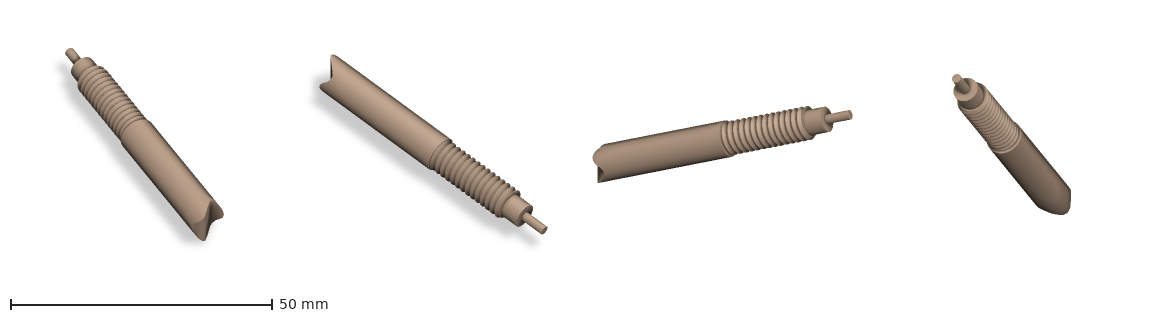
import cadquery as cq
import math

TOTAL_LENGTH = 56.39
BODY_DIAMETER = 7.11

PIN_DIAMETER = 1.83
PIN_LENGTH = 5.08
COLLAR_DIAMETER = 4.93
COLLAR_END = 8.89

THREAD_END = 26.67
THREAD_PITCH = 1.27
THREAD_LEAD_IN = 1.52 * THREAD_PITCH
THREAD_MAJOR_DIAMETER = 6.6
THREAD_MINOR_DIAMETER = 5.6
CREST_FLAT = 0.1
ROOT_FLAT = 0.1

LOBE_RADIUS = 1.0
LOBE_OFFSET = 2.07
HOLLOW_DEPTH = 3.6
FLANK_ANGLE = math.radians(26.5)


def cylinder(diameter, start, end):
    """Solid cylinder on the X axis between two stations."""
    return cq.Workplane("YZ", origin=(start, 0, 0)).circle(diameter / 2).extrude(end - start)


def thread_groove():
    """Helical V groove, running past both ends of the threaded length."""
    start = COLLAR_END - THREAD_LEAD_IN
    length = THREAD_END - COLLAR_END + 2 * THREAD_LEAD_IN
    root_radius = THREAD_MINOR_DIAMETER / 2
    crest_radius = THREAD_MAJOR_DIAMETER / 2
    outer_clearance = 0.1
    flank_run = (THREAD_PITCH - CREST_FLAT - ROOT_FLAT) / 2
    half_root = ROOT_FLAT / 2
    half_mouth = half_root + flank_run
    helix = cq.Wire.makeHelix(THREAD_PITCH, length, crest_radius)
    groove = (
        cq.Workplane("XZ")
        .polyline([
            (root_radius, -half_root),
            (crest_radius, -half_mouth),
            (crest_radius + outer_clearance, -half_mouth),
            (crest_radius + outer_clearance, half_mouth),
            (crest_radius, half_mouth),
            (root_radius, half_root),
        ])
        .close()
        .sweep(cq.Workplane(helix), isFrenet=True)
    )
    return (
        groove.rotate((0, 0, 0), (0, 0, 1), 180)
        .rotate((0, 0, 0), (0, 1, 0), 90)
        .translate((start, 0, 0))
    )


def s_end_cutter():
    """Everything beyond the S-shaped end face, running through along Z."""
    margin = 1.0
    outside = BODY_DIAMETER / 2 + margin
    beyond = TOTAL_LENGTH + margin
    lobe_x = TOTAL_LENGTH - LOBE_RADIUS
    hollow_x = TOTAL_LENGTH - HOLLOW_DEPTH + LOBE_RADIUS

    flank_x = LOBE_RADIUS * math.sin(FLANK_ANGLE)
    flank_y = LOBE_RADIUS * math.cos(FLANK_ANGLE)
    flank_run = (outside - LOBE_OFFSET - flank_y) / math.tan(FLANK_ANGLE)

    half_distance = math.hypot((lobe_x - hollow_x) / 2, LOBE_OFFSET)
    centre_angle = math.atan2(LOBE_OFFSET, (hollow_x - lobe_x) / 2)
    tangent_angle = centre_angle - math.acos(LOBE_RADIUS / half_distance)
    tangent_x = LOBE_RADIUS * math.cos(tangent_angle)
    tangent_y = LOBE_RADIUS * math.sin(tangent_angle)

    return (
        cq.Workplane("XY", origin=(0, 0, -BODY_DIAMETER))
        .moveTo(lobe_x + flank_x - flank_run, -outside)
        .lineTo(lobe_x + flank_x, -LOBE_OFFSET - flank_y)
        .threePointArc(
            (lobe_x + LOBE_RADIUS, -LOBE_OFFSET),
            (lobe_x + tangent_x, -LOBE_OFFSET + tangent_y),
        )
        .lineTo(hollow_x - tangent_x, LOBE_OFFSET - tangent_y)
        .threePointArc(
            (hollow_x - LOBE_RADIUS, LOBE_OFFSET),
            (hollow_x - flank_x, LOBE_OFFSET + flank_y),
        )
        .lineTo(hollow_x - flank_x + flank_run, outside)
        .lineTo(beyond, outside)
        .lineTo(beyond, -outside)
        .close()
        .extrude(2 * BODY_DIAMETER)
    )


pin = cylinder(PIN_DIAMETER, 0, PIN_LENGTH)
collar = cylinder(COLLAR_DIAMETER, PIN_LENGTH, COLLAR_END)
thread = cylinder(THREAD_MAJOR_DIAMETER, COLLAR_END, THREAD_END).cut(thread_groove())
body = cylinder(BODY_DIAMETER, THREAD_END, TOTAL_LENGTH).cut(s_end_cutter())

result = pin.union(collar).union(thread).union(body).solids()